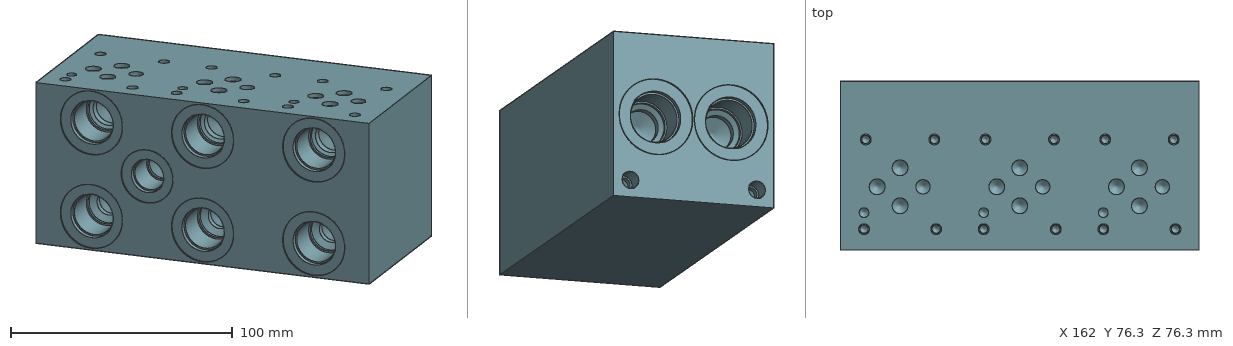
import cadquery as cq
import math

LENGTH = 162.0
WIDTH = 76.3
HEIGHT = 76.3

DRILL_POINT_ANGLE = 118.0
POINT_SLOPE = 1 / math.tan(math.radians(DRILL_POINT_ANGLE / 2))

SPOTFACE_DEPTH = 0.8
MOUTH_DEPTH = 2.6
THREAD_DEPTH = 17.8
TAP_DRILL_DEPTH = 19.5
PILOT_DEPTH = 24.3

LARGE_PORT = (35.0, 24.0, 22.2, 20.5)
MEDIUM_PORT = (30.1, 20.5, 19.1, 17.5)
SMALL_PORT = (25.1, 15.7, 14.4, 13.0)

END_PILOT_DIAMETER = 15.9
UPPER_PILOT_DIAMETER = 14.4
LOWER_PILOT_DIAMETER = 11.3

STATION_SPAN = 108.0
STATION_PITCH = STATION_SPAN / 2
STATION_X = [i * STATION_PITCH for i in (-1, 0, 1)]
FRONT_PORT_Z = 22.2
SMALL_PORT_X = -STATION_PITCH / 2
END_PORT_SPACING = 35.8

END_SCREW_THREAD = 8.0
END_SCREW_DRILL = 6.3
END_SCREW_THREAD_DEPTH = 9.7
END_SCREW_DRILL_DEPTH = 13.0
END_SCREW_Y = 30.1
END_SCREW_Z = -30.3

FRONT_SCREW_Y = -28.7
SCREW_ROW_SPACING = 40.5
FRONT_SCREW_SPACING = 32.5
BACK_SCREW_SPACING = 31.0
SCREW_THREAD = 4.9
SCREW_DRILL = 3.7
SCREW_THREAD_DEPTH = 13.0
SCREW_DRILL_DEPTH = 16.2

PIN_DIAMETER = 4.4
PIN_DEPTH = 6.5
PIN_OFFSET_Y = 7.5

PASSAGE_DIAMETER = 7.1
NARROW_PASSAGE_DIAMETER = 6.5
PASSAGE_DEPTH = 2.0
SIDE_PASSAGE_OFFSET = 10.4
FRONT_PASSAGE_OFFSET_Y = 10.5
PASSAGE_ROW_SPACING = 8.6
FRONT_PASSAGE_Y = FRONT_SCREW_Y + FRONT_PASSAGE_OFFSET_Y
SIDE_PASSAGE_Y = FRONT_PASSAGE_Y + PASSAGE_ROW_SPACING
BACK_PASSAGE_Y = SIDE_PASSAGE_Y + PASSAGE_ROW_SPACING


def front_location(x, z):
    """Point on the -Y face, local Z pointing out of the block."""
    return cq.Location(cq.Plane((x, -WIDTH / 2, z), (1, 0, 0), (0, -1, 0)))


def end_location(y, z):
    """Point on the -X face, local Z pointing out of the block."""
    return cq.Location(cq.Plane((-LENGTH / 2, y, z), (0, 1, 0), (-1, 0, 0)))


def top_location(x, y):
    """Point on the +Z face, local Z pointing out of the block."""
    return cq.Location(cq.Plane((x, y, HEIGHT / 2), (1, 0, 0), (0, 0, 1)))


def turned_cutter(steps):
    """Revolve (diameter, depth) corners about Z, closed by a drill point."""
    tip_depth = steps[-1][1] + steps[-1][0] / 2 * POINT_SLOPE
    outline = [(0, 0)] + [(diameter / 2, -depth) for diameter, depth in steps] + [(0, -tip_depth)]
    return cq.Workplane("XZ").polyline(outline).close().revolve(360, (0, 0), (0, 1)).val()


def drilled_hole(diameter, depth):
    return turned_cutter([(diameter, 0), (diameter, depth)])


def tapped_hole(thread, thread_depth, drill, drill_depth):
    return turned_cutter([(thread, 0), (thread, thread_depth), (drill, thread_depth), (drill, drill_depth)])


def port(size, pilot=None):
    """Spotface, counterbored mouth, thread and tap drill, with an optional pilot drill."""
    spotface, mouth, thread, tap_drill = size
    mouth_end = SPOTFACE_DEPTH + MOUTH_DEPTH
    steps = [
        (spotface, 0),
        (spotface, SPOTFACE_DEPTH),
        (mouth, SPOTFACE_DEPTH),
        (mouth, mouth_end),
        (thread, mouth_end),
        (thread, THREAD_DEPTH),
        (tap_drill, THREAD_DEPTH),
        (tap_drill, TAP_DRILL_DEPTH),
    ]
    if pilot:
        cone_depth = (tap_drill - pilot) / 2 * POINT_SLOPE
        steps += [(pilot, TAP_DRILL_DEPTH + cone_depth), (pilot, PILOT_DEPTH)]
    return turned_cutter(steps)


def front_ports():
    upper = port(MEDIUM_PORT, UPPER_PILOT_DIAMETER)
    lower = port(MEDIUM_PORT, LOWER_PILOT_DIAMETER)
    cutters = [port(SMALL_PORT).moved(front_location(SMALL_PORT_X, 0))]
    for x in STATION_X:
        cutters.append(upper.moved(front_location(x, FRONT_PORT_Z)))
        cutters.append(lower.moved(front_location(x, -FRONT_PORT_Z)))
    return cutters


def end_holes():
    end_port = port(LARGE_PORT, END_PILOT_DIAMETER)
    screw = tapped_hole(END_SCREW_THREAD, END_SCREW_THREAD_DEPTH, END_SCREW_DRILL, END_SCREW_DRILL_DEPTH)
    cutters = []
    for side in (-1, 1):
        cutters.append(end_port.moved(end_location(side * END_PORT_SPACING / 2, 0)))
        cutters.append(screw.moved(end_location(side * END_SCREW_Y, END_SCREW_Z)))
    return cutters


def valve_station(x):
    """Mounting screws, locating pin and flow passages of one valve."""
    screw = tapped_hole(SCREW_THREAD, SCREW_THREAD_DEPTH, SCREW_DRILL, SCREW_DRILL_DEPTH)
    passage = drilled_hole(PASSAGE_DIAMETER, PASSAGE_DEPTH)
    narrow_passage = drilled_hole(NARROW_PASSAGE_DIAMETER, PASSAGE_DEPTH)
    pin = drilled_hole(PIN_DIAMETER, PIN_DEPTH)
    back_screw_y = FRONT_SCREW_Y + SCREW_ROW_SPACING
    cutters = [
        passage.moved(top_location(x, FRONT_PASSAGE_Y)),
        passage.moved(top_location(x, BACK_PASSAGE_Y)),
        passage.moved(top_location(x - SIDE_PASSAGE_OFFSET, SIDE_PASSAGE_Y)),
        narrow_passage.moved(top_location(x + SIDE_PASSAGE_OFFSET, SIDE_PASSAGE_Y)),
        pin.moved(top_location(x - FRONT_SCREW_SPACING / 2, FRONT_SCREW_Y + PIN_OFFSET_Y)),
    ]
    for side in (-1, 1):
        cutters.append(screw.moved(top_location(x + side * FRONT_SCREW_SPACING / 2, FRONT_SCREW_Y)))
        cutters.append(screw.moved(top_location(x + side * BACK_SCREW_SPACING / 2, back_screw_y)))
    return cutters


block = cq.Workplane("XY").box(LENGTH, WIDTH, HEIGHT)
hole_cutters = front_ports() + end_holes()
for station_x in STATION_X:
    hole_cutters += valve_station(station_x)
result = cq.Workplane(block.val().cut(*hole_cutters).Solids()[0])